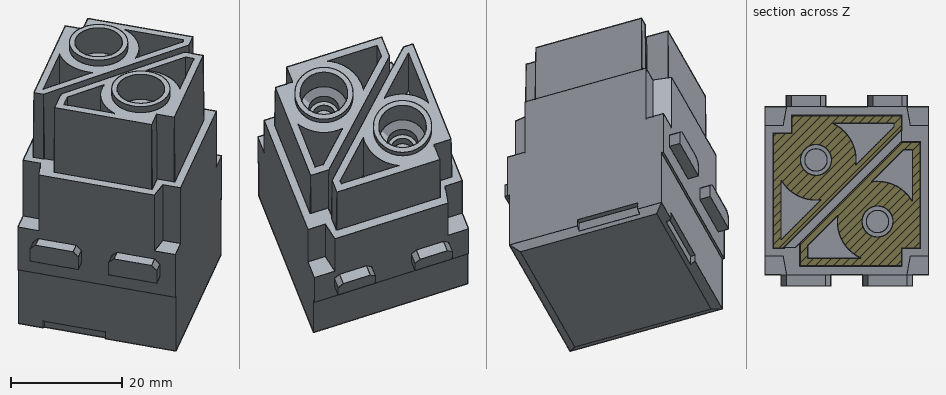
import cadquery as cq

chamfer_height = 0.9
step_z = 13.35
notch_floor_z = 23.05
shoulder_z = 35.7
tower_top_z = 50.25
total_height = 51.6

body_width = 29.4
body_depth = 30.2
base_depth = body_width
chamfer_inset = 1.55

notch_inner_x = 11.4
notch_outer_x = 10.8
notch_inner_y = 11.7

overall_depth = 34.2
tab_bottom_z = 17.45
tab_top_z = 21.25
tab_spacing = 14.65
front_tab_width = 9.0
rear_tab_width = 7.1
tab_corner = 1.0

recess_height = 2.4
recess_depth = 0.9
recess_start = -10.1
recess_end = 1.55

tower_half_x = 13.1
tower_half_y = 13.4
tower_taper = 0.6
step_x = 9.8
step_y = 10.2
left_step_x = 8.3
right_step_y = 8.65
slot_upper_offset = 1.1
slot_lower_offset = 1.0
slot_floor_z = 32.5
tower_wall = 1.35

socket_offset = 5.5
collar_diameter = 10.5
bore_diameter = 8.5
funnel_diameter = 5.5
pin_hole_diameter = 4.0
pocket_arc_diameter = 14.45
bore_depth = 5.7
funnel_height = 0.8
throat_depth = 2.05
pin_hole_depth = 2.05


def make_body():
    """Square base with a chamfered foot under the slightly deeper upper block."""
    base = cq.Workplane("XY").box(body_width, base_depth, step_z, centered=(True, True, False))
    base = base.faces("<Z").chamfer(chamfer_height, chamfer_inset)
    block = (
        cq.Workplane("XY", origin=(0, 0, step_z))
        .box(body_width, body_depth, shoulder_z - step_z, centered=(True, True, False))
    )
    return base.union(block)


def make_corner_notches():
    """Four corner keyways whose inner walls lean slightly."""
    half_x = body_width / 2
    half_y = body_depth / 2
    notch = (
        cq.Workplane("XY", origin=(0, 0, notch_floor_z))
        .polyline([
            (half_x, notch_inner_y),
            (notch_inner_x, notch_inner_y),
            (notch_outer_x, half_y),
            (half_x, half_y),
        ])
        .close()
        .extrude(shoulder_z - notch_floor_z)
    )
    pair = notch.union(notch.mirror("YZ"))
    return pair.union(pair.mirror("XZ"))


def make_tab(center_x, width, side):
    """Snap tab with its upper corners cut; side is -1 for front and +1 for rear."""
    length = overall_depth / 2
    tab = (
        cq.Workplane("XZ")
        .center(center_x, (tab_bottom_z + tab_top_z) / 2)
        .rect(width, tab_top_z - tab_bottom_z)
        .extrude(-side * length)
    )
    return tab.edges("|Y and >Z").chamfer(tab_corner)


def make_recesses():
    """Foot recesses in the front (-Y) and left (-X) faces."""
    length = recess_end - recess_start
    middle = (recess_start + recess_end) / 2
    half = body_width / 2
    front = (
        cq.Workplane("XY")
        .center(middle, -half)
        .rect(length, 2 * recess_depth)
        .extrude(recess_height)
    )
    left = (
        cq.Workplane("XY")
        .center(-half, middle)
        .rect(2 * recess_depth, length)
        .extrude(recess_height)
    )
    return front.union(left)


def upper_left_outline():
    """Top outline of the tower on the -X, +Y side of the slot."""
    return [
        (-tower_half_x, -step_y),
        (-step_y - slot_upper_offset, -step_y),
        (step_x, step_x + slot_upper_offset),
        (step_x, tower_half_y),
        (-step_x, tower_half_y),
        (-step_x, step_y),
        (-tower_half_x, step_y),
    ]


def lower_right_outline():
    """Top outline of the tower on the +X, -Y side of the slot."""
    return [
        (tower_half_x, right_step_y),
        (right_step_y + slot_lower_offset, right_step_y),
        (-left_step_x, -left_step_x - slot_lower_offset),
        (-left_step_x, -tower_half_y),
        (step_x, -tower_half_y),
        (step_x, -step_y),
        (tower_half_x, -step_y),
    ]


def make_tower(outline, center):
    """Drafted tower with corner pockets around a raised socket collar."""
    height = tower_top_z - shoulder_z
    top = cq.Workplane("XY", origin=(0, 0, tower_top_z))
    tower = top.polyline(outline).close().extrude(-height, taper=-tower_taper)
    pocket = (
        top.polyline(outline).close()
        .offset2D(-tower_wall, "intersection")
        .extrude(-height)
    )
    socket_wall = (
        top.pushPoints([center]).circle(pocket_arc_diameter / 2).extrude(-height)
    )
    collar = (
        top.pushPoints([center])
        .circle(collar_diameter / 2)
        .extrude(total_height - tower_top_z)
    )
    return tower.cut(pocket.cut(socket_wall)).union(collar)


def make_slot():
    """Diagonal slot between the towers, sunk below the shoulder."""
    start = -step_y
    end = step_x
    return (
        cq.Workplane("XY", origin=(0, 0, slot_floor_z))
        .polyline([
            (start - slot_upper_offset, start),
            (start + slot_lower_offset, start),
            (end, end - slot_lower_offset),
            (end, end + slot_upper_offset),
        ])
        .close()
        .extrude(tower_top_z - slot_floor_z)
    )


def make_socket(center):
    """Straight bore narrowing through a funnel to a stepped blind hole."""
    bore_r = bore_diameter / 2
    funnel_r = funnel_diameter / 2
    pin_r = pin_hole_diameter / 2
    funnel_top = total_height - bore_depth
    funnel_bottom = funnel_top - funnel_height
    throat_bottom = funnel_bottom - throat_depth
    floor = throat_bottom - pin_hole_depth
    return (
        cq.Workplane("XZ")
        .polyline([
            (0, total_height),
            (bore_r, total_height),
            (bore_r, funnel_top),
            (funnel_r, funnel_bottom),
            (funnel_r, throat_bottom),
            (pin_r, throat_bottom),
            (pin_r, floor),
            (0, floor),
        ])
        .close()
        .revolve(360, (0, 0), (0, 1))
        .translate((center[0], center[1], 0))
    )


socket_centers = [(-socket_offset, socket_offset), (socket_offset, -socket_offset)]
tower_outlines = [upper_left_outline(), lower_right_outline()]

result = make_body().cut(make_corner_notches()).cut(make_recesses())
for tab_x in (-tab_spacing / 2, tab_spacing / 2):
    result = result.union(make_tab(tab_x, front_tab_width, -1))
    result = result.union(make_tab(tab_x, rear_tab_width, 1))
for outline, center in zip(tower_outlines, socket_centers):
    result = result.union(make_tower(outline, center))
result = result.cut(make_slot())
for center in socket_centers:
    result = result.cut(make_socket(center))